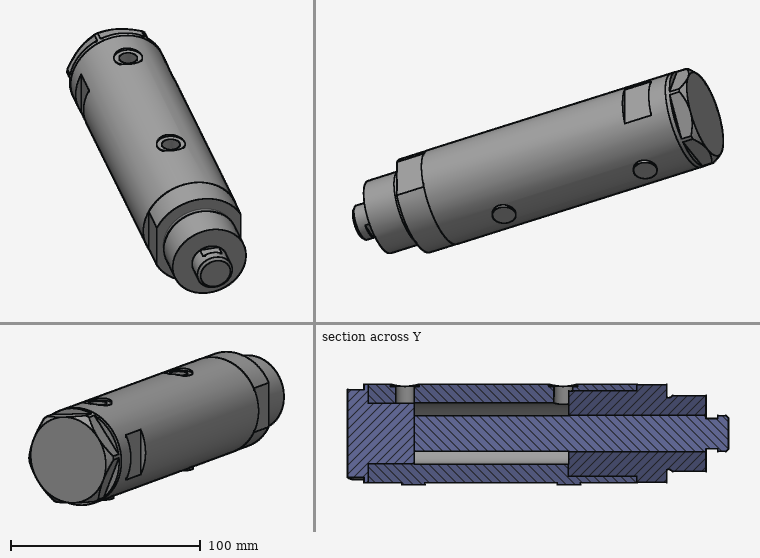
import cadquery as cq
import math

TOTAL_LENGTH = 201.0
BODY_DIAMETER = 52.0
BODY_RADIUS = BODY_DIAMETER / 2
BORE_RADIUS = 16.0
COUNTERBORE_RADIUS = 22.5
ACROSS_FLATS = 46.0
EDGE_OVERLAP = 2.0

HEX_LENGTH = 8.6
CAP_LENGTH = 11.0
HEX_TURN = 7.5
HEX_CHAMFER = 3.0
CAP_SPIGOT_END = 35.4

BARREL_END = 152.8
BARREL_FLAT_START = 20.7
BARREL_FLAT_LENGTH = 15.3
PORT_POSITIONS = (30.4, 113.8)
PORT_RADIUS = 4.8
SPOTFACE_DIAMETER = 15.0
SPOTFACE_RADIUS = SPOTFACE_DIAMETER / 2
SPOTFACE_DEPTH = 1.2
PAD_POSITIONS = (34.8, 116.8)
PAD_RADIUS = 6.2
PAD_HEIGHT = 1.0

GLAND_SPIGOT_START = 116.5
NECK_RADIUS = 26.0
NECK_END = 168.5
GROOVE_RADIUS = 19.0
GROOVE_FILLET = 0.6
GROOVE_FLOOR_END = 170.0
COLLAR_RADIUS = 20.1
COLLAR_START = 171.5
COLLAR_END = 189.2

ROD_DIAMETER = 19.0
ROD_RADIUS = ROD_DIAMETER / 2
ROD_ACROSS_FLATS = 16.0
ROD_FLAT_END = 195.2
ROD_CHAMFER = 1.5


def cylinder_along_x(start, end, radius):
    """Solid cylinder on the main axis between two x positions."""
    return cq.Workplane("YZ", origin=(start, 0, 0)).circle(radius).extrude(end - start)


def cylinder_along_z(x, bottom, top, radius):
    """Solid upright cylinder centred over the main axis at x."""
    return cq.Workplane("XY", origin=(x, 0, bottom)).circle(radius).extrude(top - bottom)


def slab_pair(start, end, across, axis):
    """Two blocks that leave the given width across flats, facing along Y or Z."""
    reach = BODY_RADIUS + EDGE_OVERLAP
    thickness = reach - across / 2
    offset = (reach + across / 2) / 2
    middle = (start + end) / 2
    pair = cq.Workplane("XY")
    for side in (-1, 1):
        if axis == "Y":
            block = cq.Workplane("XY").box(end - start, thickness, 2 * reach)
            block = block.translate((middle, side * offset, 0))
        else:
            block = cq.Workplane("XY").box(end - start, 2 * reach, thickness)
            block = block.translate((middle, 0, side * offset))
        pair = pair.add(block)
    return pair.combine()


def make_cap():
    """Hexagonal screw cap with a round flange and a spigot that closes the bore."""
    blank = cylinder_along_x(0, HEX_LENGTH, BODY_RADIUS).faces("<X").chamfer(HEX_CHAMFER)
    across_corners = ACROSS_FLATS / math.cos(math.radians(30))
    hexagon = (
        cq.Workplane("YZ")
        .polygon(6, across_corners)
        .extrude(HEX_LENGTH)
        .rotate((0, 0, 0), (1, 0, 0), -HEX_TURN)
    )
    flange = cylinder_along_x(HEX_LENGTH, CAP_LENGTH, BODY_RADIUS)
    spigot = cylinder_along_x(CAP_LENGTH, CAP_SPIGOT_END, BORE_RADIUS)
    return hexagon.intersect(blank).union(flange).union(spigot)


def make_barrel():
    """Tube with a stepped bore, wrench flats, two ports on top and two round pads below."""
    barrel = cylinder_along_x(CAP_LENGTH, BARREL_END, BODY_RADIUS)
    for x in PAD_POSITIONS:
        barrel = barrel.union(cylinder_along_z(x, -BODY_RADIUS - PAD_HEIGHT, -BORE_RADIUS, PAD_RADIUS))
    barrel = barrel.cut(cylinder_along_x(CAP_LENGTH, BARREL_END, BORE_RADIUS))
    barrel = barrel.cut(cylinder_along_x(GLAND_SPIGOT_START, BARREL_END, COUNTERBORE_RADIUS))

    flat_end = BARREL_FLAT_START + BARREL_FLAT_LENGTH
    barrel = barrel.cut(slab_pair(BARREL_FLAT_START, flat_end, ACROSS_FLATS, "Y"))

    tool_top = BODY_RADIUS + EDGE_OVERLAP
    for x in PORT_POSITIONS:
        barrel = barrel.cut(cylinder_along_z(x, BODY_RADIUS - SPOTFACE_DEPTH, tool_top, SPOTFACE_RADIUS))
        barrel = barrel.cut(cylinder_along_z(x, 0, tool_top, PORT_RADIUS))
    return barrel


def make_gland():
    """Front gland: spigot, neck with wrench flats, relief groove and collar, bored for the rod."""
    fillet_middle = GROOVE_FILLET * (1 - math.sqrt(0.5))
    profile = (
        cq.Workplane("XY")
        .moveTo(GLAND_SPIGOT_START, ROD_RADIUS)
        .lineTo(GLAND_SPIGOT_START, COUNTERBORE_RADIUS)
        .lineTo(BARREL_END, COUNTERBORE_RADIUS)
        .lineTo(BARREL_END, NECK_RADIUS)
        .lineTo(NECK_END, NECK_RADIUS)
        .lineTo(NECK_END, GROOVE_RADIUS + GROOVE_FILLET)
        .threePointArc(
            (NECK_END + fillet_middle, GROOVE_RADIUS + fillet_middle),
            (NECK_END + GROOVE_FILLET, GROOVE_RADIUS),
        )
        .lineTo(GROOVE_FLOOR_END, GROOVE_RADIUS)
        .lineTo(COLLAR_START, COLLAR_RADIUS)
        .lineTo(COLLAR_END, COLLAR_RADIUS)
        .lineTo(COLLAR_END, ROD_RADIUS)
        .close()
    )
    gland = profile.revolve(360, (0, 0, 0), (1, 0, 0))
    return gland.cut(slab_pair(BARREL_END, NECK_END, ACROSS_FLATS, "Y"))


def make_rod():
    """Piston rod from the cap spigot out through the gland, with two flats near its tip."""
    rod = cylinder_along_x(CAP_SPIGOT_END, TOTAL_LENGTH, ROD_RADIUS).faces(">X").chamfer(ROD_CHAMFER)
    return rod.cut(slab_pair(COLLAR_END, ROD_FLAT_END, ROD_ACROSS_FLATS, "Z"))


cap = make_cap()
barrel = make_barrel()
gland = make_gland()
rod = make_rod()

result = cq.Compound.makeCompound([cap.val(), barrel.val(), gland.val(), rod.val()])